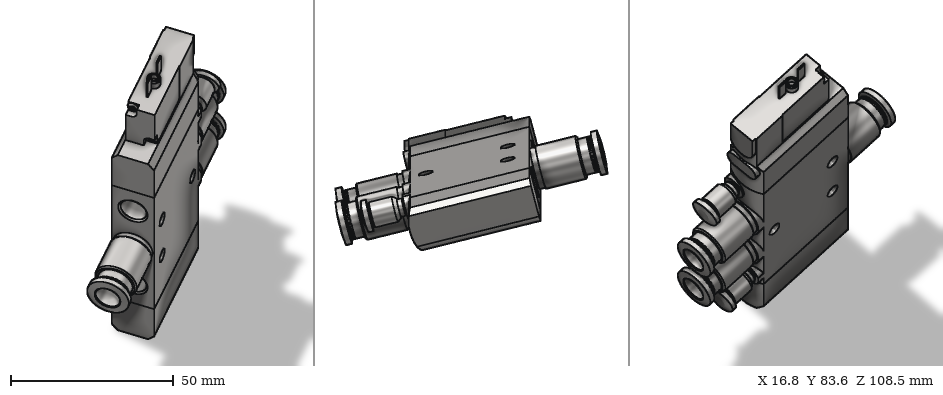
import cadquery as cq
import math


WIDTH = 14.0
DEPTH = 39.7
HEIGHT = 85.0
SEAM_Z = 27.0
END_BEVEL_X = 2.0
END_BEVEL_Z = 2.2
BACK_RADIUS = 14.0
BACK_CROWN = BACK_RADIUS - math.sqrt(BACK_RADIUS**2 - (WIDTH / 2) ** 2)
PAD_RISE = 0.6
PAD_FACE_Y = DEPTH + PAD_RISE
PAD_ROOT_Y = DEPTH - 3.0

PORT_PITCH = 17.5
PORT_CORE_DIAMETER = 8.57
PORT_MOUTH_DIAMETER = 9.73
PORT_DEPTH = 12.0
MOUNT_HOLE_DIAMETER = 4.4
FRONT_MOUNT_Y = 6.9
BACK_MOUNT_Y = 32.9

LARGE_PAD_DIAMETER = 14.4
SMALL_PAD_DIAMETER = 7.8
SMALL_FITTING_X = 3.4
SMALL_FITTING_Z = 22.0
OVERRIDE_WIDTH = 12.0
OVERRIDE_HEIGHT = 6.1
OVERRIDE_Z = 39.0

HEAD_WIDTH = WIDTH - 2 * END_BEVEL_X
HEAD_TOP_Z = 59.1
HEAD_FRONT_Y = 27.2
COIL_WIDTH = 9.6
COIL_FRONT_Y = 6.25
COIL_GAP = 0.3
TONGUE_WIDTH = 9.3
TONGUE_BOTTOM_Z = 46.2
TONGUE_ROOT_Y = DEPTH - 2.0

SCREW_X = 3.2
SCREW_INSET_Z = 2.0
SCREW_POCKET_REACH = 2.05
SCREW_POCKET_FILLET = 2.0
SCREW_POCKET_DEPTH = 2.1
SCREW_HEAD_DIAMETER = 3.6
SCREW_TOP_DIAMETER = 2.2
SCREW_HEAD_HEIGHT = 0.6
SCREW_SOCKET_DIAMETER = 1.57
SCREW_SOCKET_DEPTH = 0.6

PLUG_Y = 17.85
BLADE_PITCH = 8.5
BLADE_WIDTH = 2.9
BLADE_THICKNESS = 0.5
BLADE_TOP_Z = 66.0
POST_DIAMETER = 4.2
POST_HEIGHT = 2.9
POST_BEVEL = 0.4
POST_HOLE_DIAMETER = 2.46
POST_HOLE_DEPTH = 2.0

LARGE_NECK_DIAMETER = 13.0
LARGE_BODY_DIAMETER = 13.7
LARGE_COLLAR_DIAMETER = 11.4
LARGE_WAIST_DIAMETER = 9.4
LARGE_FLANGE_DIAMETER = 13.8
LARGE_NECK_TOP = 1.85
LARGE_BODY_TOP = 15.0
LARGE_BODY_BEVEL = 0.5
LARGE_COLLAR_TOP = 19.0
LARGE_FLANGE_BASE = 19.4
LARGE_FLANGE_EDGE = 21.3
LARGE_LENGTH = 21.65
TUBE_MOUTH_DIAMETER = 8.57
TUBE_DIAMETER = 8.0
TUBE_DEPTH = 14.0
FLOW_DIAMETER = 5.5
KNURL_COUNT = 24
KNURL_SLOT_WIDTH = 0.9
KNURL_SLOT_LENGTH = 1.1

SMALL_SEAT_DIAMETER = 5.0
SMALL_NECK_DIAMETER = 5.5
SMALL_BODY_DIAMETER = 8.0
SMALL_CONE_DIAMETER = 6.2
SMALL_TIP_DIAMETER = 4.4
SMALL_SEAT_TOP = 0.5
SMALL_NECK_TOP = 2.0
SMALL_CONE_TOP = 3.3
SMALL_BODY_TOP = 10.9
SMALL_BODY_BEVEL = 0.4
SMALL_FLANGE_BASE = 11.3
SMALL_FLANGE_EDGE = 12.85
SMALL_LENGTH = 13.5
SMALL_FLANGE_LENGTH = 10.0
SMALL_FLANGE_WIDTH = 8.0


def box(x_range, y_range, z_range):
    """Box between pairs of limits along each axis."""
    size = [high - low for low, high in (x_range, y_range, z_range)]
    corner = cq.Vector(x_range[0], y_range[0], z_range[0])
    return cq.Workplane(cq.Solid.makeBox(*size, corner))


def facing_back(x, y, z):
    """Workplane at a point whose normal is +Y and whose local x is -X."""
    return cq.Workplane(cq.Plane((x, y, z), (-1, 0, 0), (0, 1, 0)))


def facing_front(x, y, z):
    """Workplane at a point whose normal is -Y and whose local x is +X."""
    return cq.Workplane(cq.Plane((x, y, z), (1, 0, 0), (0, -1, 0)))


def round_part(profile):
    """Solid of revolution about Z from (radius, height) points."""
    return cq.Workplane("XZ").polyline(profile).close().revolve(360, (0, 0, 0), (0, 1, 0))


def column(z_low, z_high):
    """Length of the block profile: a rectangle with a crowned back."""
    half = WIDTH / 2
    return (
        cq.Workplane("XY")
        .workplane(offset=z_low)
        .moveTo(-half, 0)
        .lineTo(half, 0)
        .lineTo(half, DEPTH - BACK_CROWN)
        .threePointArc((0, DEPTH), (-half, DEPTH - BACK_CROWN))
        .close()
        .extrude(z_high - z_low)
    )


def cut_end_bevels(cap, end_z, direction):
    """Bevel both side edges at one end of the block; direction is +1 for the top end."""
    for side in (-1, 1):
        edge_x = side * WIDTH / 2
        wedge = (
            cq.Workplane("XZ")
            .moveTo(edge_x, end_z)
            .lineTo(edge_x - side * END_BEVEL_X, end_z)
            .lineTo(edge_x, end_z - direction * END_BEVEL_Z)
            .close()
            .extrude(-DEPTH)
        )
        cap = cap.cut(wedge)
    return cap


def back_pad(diameter, x, z):
    """Round pad on the back face, trimmed flush with the block sides."""
    pad = facing_back(x, PAD_ROOT_Y, z).circle(diameter / 2).extrude(PAD_FACE_Y - PAD_ROOT_Y)
    half = WIDTH / 2
    return pad.intersect(box((-half, half), (0, PAD_FACE_Y), (-HEIGHT / 2, HEIGHT / 2)))


def port_hole(z):
    """Blind threaded port in the front face with a 45 degree mouth."""
    mouth_radius = PORT_MOUTH_DIAMETER / 2
    core_radius = PORT_CORE_DIAMETER / 2
    profile = [
        (0, 0),
        (mouth_radius, 0),
        (core_radius, mouth_radius - core_radius),
        (core_radius, PORT_DEPTH),
        (0, PORT_DEPTH),
    ]
    return round_part(profile).rotate((0, 0, 0), (1, 0, 0), -90).translate((0, 0, z))


def make_housing():
    housing = column(-SEAM_Z, SEAM_Z)
    for side in (-1, 1):
        housing = housing.union(back_pad(LARGE_PAD_DIAMETER, 0, side * PORT_PITCH / 2))
        housing = housing.union(back_pad(SMALL_PAD_DIAMETER, side * SMALL_FITTING_X, side * SMALL_FITTING_Z))
    mounts = [
        (FRONT_MOUNT_Y, PORT_PITCH / 2),
        (FRONT_MOUNT_Y, -PORT_PITCH / 2),
        (BACK_MOUNT_Y, 0),
    ]
    mount_holes = (
        cq.Workplane("YZ").pushPoints(mounts).circle(MOUNT_HOLE_DIAMETER / 2).extrude(WIDTH / 2, both=True)
    )
    housing = housing.cut(mount_holes)
    for side in (-1, 1):
        housing = housing.cut(port_hole(side * PORT_PITCH))
    return housing


def make_bottom_cap():
    return cut_end_bevels(column(-HEIGHT / 2, -SEAM_Z), -HEIGHT / 2, -1)


def coil_screw_pocket():
    """Corner pocket around the upper left coil screw, with one rounded inner corner."""
    floor_y = COIL_FRONT_Y + SCREW_POCKET_DEPTH
    screw_z = HEAD_TOP_Z - SCREW_INSET_Z
    reach = SCREW_POCKET_REACH
    pocket = box((-COIL_WIDTH, -SCREW_X + reach), (0, floor_y), (screw_z - reach, HEAD_TOP_Z))
    return pocket.edges("|Y and >X and <Z").fillet(SCREW_POCKET_FILLET)


def coil_screw():
    """Upper left coil screw head, standing on the pocket floor."""
    floor_y = COIL_FRONT_Y + SCREW_POCKET_DEPTH
    return (
        facing_front(-SCREW_X, floor_y, HEAD_TOP_Z - SCREW_INSET_Z)
        .circle(SCREW_HEAD_DIAMETER / 2)
        .workplane(offset=SCREW_HEAD_HEIGHT)
        .circle(SCREW_TOP_DIAMETER / 2)
        .loft()
        .faces("<Y")
        .workplane()
        .hole(SCREW_SOCKET_DIAMETER, SCREW_SOCKET_DEPTH)
    )


def make_coil():
    half = COIL_WIDTH / 2
    bottom_z = HEIGHT / 2 + COIL_GAP
    coil = box((-half, half), (COIL_FRONT_Y, HEAD_FRONT_Y), (bottom_z, HEAD_TOP_Z))
    middle_z = (bottom_z + HEAD_TOP_Z) / 2
    for angle in (0, 180):
        axis = ((0, 0, middle_z), (0, 1, middle_z))
        coil = coil.cut(coil_screw_pocket().rotate(*axis, angle))
        coil = coil.union(coil_screw().rotate(*axis, angle))
    post = (
        cq.Workplane("XY", origin=(0, PLUG_Y, HEAD_TOP_Z))
        .circle(POST_DIAMETER / 2)
        .extrude(POST_HEIGHT)
        .faces(">Z")
        .chamfer(POST_BEVEL)
        .faces(">Z")
        .workplane()
        .hole(POST_HOLE_DIAMETER, POST_HOLE_DEPTH)
    )
    blades = (
        cq.Workplane("XY", origin=(0, PLUG_Y, HEAD_TOP_Z))
        .rarray(1, BLADE_PITCH, 1, 2)
        .rect(BLADE_THICKNESS, BLADE_WIDTH)
        .extrude(BLADE_TOP_Z - HEAD_TOP_Z)
    )
    return coil.union(post).union(blades)


def make_top_cap():
    cap = cut_end_bevels(column(SEAM_Z, HEIGHT / 2), HEIGHT / 2, 1)
    half = HEAD_WIDTH / 2
    head = column(HEIGHT / 2, HEAD_TOP_Z).intersect(
        box((-half, half), (HEAD_FRONT_Y, DEPTH), (0, HEAD_TOP_Z))
    )
    radius = TONGUE_WIDTH / 2
    arc_z = TONGUE_BOTTOM_Z + radius
    tongue = (
        facing_back(0, TONGUE_ROOT_Y, 0)
        .moveTo(-radius, HEAD_TOP_Z)
        .lineTo(-radius, arc_z)
        .threePointArc((0, TONGUE_BOTTOM_Z), (radius, arc_z))
        .lineTo(radius, HEAD_TOP_Z)
        .close()
        .extrude(PAD_FACE_Y - TONGUE_ROOT_Y)
    )
    override = (
        facing_back(0, PAD_ROOT_Y, OVERRIDE_Z)
        .slot2D(OVERRIDE_WIDTH, OVERRIDE_HEIGHT)
        .extrude(PAD_FACE_Y - PAD_ROOT_Y)
    )
    return cap.union(head).union(tongue).union(override).union(make_coil())


def make_large_fitting():
    """Push-in fitting standing on the XY plane, axis along +Z."""
    waist_radius = LARGE_WAIST_DIAMETER / 2
    fitting = round_part(
        [
            (FLOW_DIAMETER / 2, 0),
            (LARGE_NECK_DIAMETER / 2, 0),
            (LARGE_NECK_DIAMETER / 2, LARGE_NECK_TOP),
            (LARGE_BODY_DIAMETER / 2, LARGE_NECK_TOP),
            (LARGE_BODY_DIAMETER / 2, LARGE_BODY_TOP - LARGE_BODY_BEVEL),
            (LARGE_BODY_DIAMETER / 2 - LARGE_BODY_BEVEL, LARGE_BODY_TOP),
            (LARGE_COLLAR_DIAMETER / 2, LARGE_BODY_TOP),
            (LARGE_COLLAR_DIAMETER / 2, LARGE_COLLAR_TOP),
            (waist_radius, LARGE_COLLAR_TOP),
            (waist_radius, LARGE_FLANGE_BASE),
            (LARGE_FLANGE_DIAMETER / 2, LARGE_FLANGE_BASE),
            (LARGE_FLANGE_DIAMETER / 2, LARGE_FLANGE_EDGE),
            (TUBE_MOUTH_DIAMETER / 2, LARGE_LENGTH),
            (TUBE_DIAMETER / 2, LARGE_LENGTH - (TUBE_MOUTH_DIAMETER - TUBE_DIAMETER) / 2),
            (TUBE_DIAMETER / 2, LARGE_LENGTH - TUBE_DEPTH),
            (FLOW_DIAMETER / 2, LARGE_LENGTH - TUBE_DEPTH),
        ]
    )
    slot_depth = LARGE_COLLAR_DIAMETER / 2 - waist_radius
    slots = (
        cq.Workplane("XY")
        .workplane(offset=LARGE_COLLAR_TOP - KNURL_SLOT_LENGTH)
        .polarArray(LARGE_COLLAR_DIAMETER / 2, 0, 360, KNURL_COUNT)
        .rect(2 * slot_depth, KNURL_SLOT_WIDTH)
        .extrude(KNURL_SLOT_LENGTH)
    )
    return fitting.cut(slots)


def make_small_fitting():
    """Push-in fitting standing on the XY plane, axis along +Z, with an oval release flange."""
    neck_radius = SMALL_NECK_DIAMETER / 2
    body_radius = SMALL_BODY_DIAMETER / 2
    tip_radius = SMALL_TIP_DIAMETER / 2
    flange_radius = SMALL_FLANGE_LENGTH / 2
    stem = round_part(
        [
            (0, 0),
            (SMALL_SEAT_DIAMETER / 2, 0),
            (SMALL_SEAT_DIAMETER / 2, SMALL_SEAT_TOP),
            (neck_radius, SMALL_SEAT_TOP),
            (neck_radius, SMALL_NECK_TOP),
            (SMALL_CONE_DIAMETER / 2, SMALL_NECK_TOP),
            (body_radius, SMALL_CONE_TOP),
            (body_radius, SMALL_BODY_TOP - SMALL_BODY_BEVEL),
            (body_radius - SMALL_BODY_BEVEL, SMALL_BODY_TOP),
            (tip_radius, SMALL_BODY_TOP),
            (tip_radius, SMALL_LENGTH),
            (0, SMALL_LENGTH),
        ]
    )
    disc = round_part(
        [
            (0, SMALL_FLANGE_BASE),
            (flange_radius, SMALL_FLANGE_BASE),
            (flange_radius, SMALL_FLANGE_EDGE),
            (tip_radius, SMALL_LENGTH),
            (0, SMALL_LENGTH),
        ]
    )
    oval = cq.Workplane("XY").ellipse(flange_radius, SMALL_FLANGE_WIDTH / 2).extrude(SMALL_LENGTH)
    return stem.union(disc.intersect(oval))


def on_back(fitting, x, z):
    """Turn a fitting to point along +Y and seat it on a back pad."""
    return fitting.rotate((0, 0, 0), (1, 0, 0), -90).translate((x, PAD_FACE_Y, z))


housing = make_housing()
top_cap = make_top_cap()
bottom_cap = make_bottom_cap()
front_fitting = make_large_fitting().rotate((0, 0, 0), (1, 0, 0), 90)
back_fittings = []
for side in (-1, 1):
    back_fittings.append(on_back(make_large_fitting(), 0, side * PORT_PITCH / 2))
    back_fittings.append(on_back(make_small_fitting(), side * SMALL_FITTING_X, side * SMALL_FITTING_Z))

result = cq.Compound.makeCompound(
    [
        housing.val(),
        top_cap.val(),
        bottom_cap.val(),
        front_fitting.val(),
        *[fitting.val() for fitting in back_fittings],
    ]
)